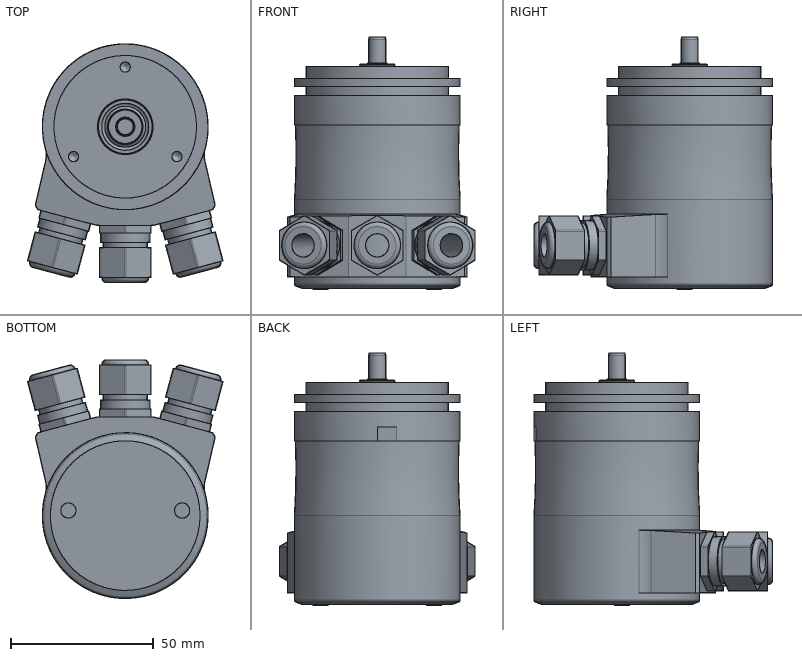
import cadquery as cq
import math

overall_height = 88.5

body_radius = 29.0
neck_radius = 25.0
foot_height = 0.31
flange_top = 78.15
disc_top = 73.9
disc_bottom = 71.1
cap_top = 68.0
cap_bottom = 57.5
waist_bottom = 31.5
waist_top_radius = 28.7
waist_mid_radius = 28.5
base_bevel_height = 1.15
base_flat_radius = 26.2
base_round = 0.8

foot_radius = 2.65
foot_x = 19.9
foot_y = -1.8

shaft_radius = 3.0
shaft_chamfer_height = 1.0
shaft_chamfer_width = 0.22
shoulder_radius = 3.4
shoulder_top = 79.3
collar_radius = 6.2
collar_chamfer = 0.35
collar_bottom = 77.6
collar_top = 79.0
groove_floor_radius = 7.2
groove_outer_radius = 8.2
seat_radius = 9.4
seat_depth = 0.35
seat_chamfer = 0.35

screw_hole_radius = 1.8
screw_circle_radius = 20.9
screw_hole_depth = 8.0
screw_tip_angle = 118.0
screw_count = 3

rear_step_height = 5.0
rear_step_depth = 0.8

box_bottom = 4.4
box_top_at_body = 26.4
box_top_slope = 4.5
box_front = 34.5
box_front_half_width = 10.0
box_corner_half_width = 31.8
box_side_angle = 13.0
box_blend_radius = 8.5
box_corner_chamfer = 1.2
top_cone_radius = 53.1

gland_angle = 15.0
gland_height = 15.5
side_gland_x = 20.8
gland_length = 20.0
gland_bore_radius = 4.1
hex_half_width = 9.0
hex_edge_round = 0.5
gland_base_length = 2.7
gland_ring_radius = 8.7
gland_ring_end = 5.9
gland_neck_radius = 7.8
nut_start = 7.8
nut_end = 18.2
dome_radius = 8.1
dome_round = 1.6


def make_body():
    """Turned housing with waist, grooved flange, bearing seat and shaft."""
    seat_floor = flange_top - seat_depth
    groove_radius = groove_outer_radius - groove_floor_radius
    waist_middle = (cap_bottom + waist_bottom) / 2
    profile = (
        cq.Workplane("XZ")
        .moveTo(0, foot_height)
        .lineTo(base_flat_radius, foot_height)
        .lineTo(body_radius, foot_height + base_bevel_height)
        .lineTo(body_radius, waist_bottom)
        .threePointArc((waist_mid_radius, waist_middle), (waist_top_radius, cap_bottom))
        .lineTo(body_radius, cap_bottom)
        .lineTo(body_radius, cap_top)
        .lineTo(neck_radius, cap_top)
        .lineTo(neck_radius, disc_bottom)
        .lineTo(body_radius, disc_bottom)
        .lineTo(body_radius, disc_top)
        .lineTo(neck_radius, disc_top)
        .lineTo(neck_radius, flange_top)
        .lineTo(seat_radius + seat_chamfer, flange_top)
        .lineTo(seat_radius, seat_floor)
        .lineTo(groove_outer_radius, seat_floor)
        .radiusArc((groove_floor_radius, seat_floor - groove_radius), groove_radius)
        .lineTo(collar_radius, collar_bottom)
        .lineTo(collar_radius, collar_top - collar_chamfer)
        .lineTo(collar_radius - collar_chamfer, collar_top)
        .lineTo(shoulder_radius, collar_top)
        .lineTo(shoulder_radius, shoulder_top)
        .lineTo(shaft_radius, shoulder_top)
        .lineTo(shaft_radius, overall_height - shaft_chamfer_height)
        .lineTo(shaft_radius - shaft_chamfer_width, overall_height)
        .lineTo(0, overall_height)
        .close()
    )
    body = profile.revolve(360, (0, 0, 0), (0, 1, 0))
    rim_height = foot_height + base_bevel_height
    rim_edge = cq.selectors.NearestToPointSelector((0, 0, rim_height))
    return body.edges("%CIRCLE").edges(rim_edge).fillet(base_round)


def make_screw_holes():
    """Blind drilled holes with conical ends, evenly spaced around the shaft."""
    tip_length = screw_hole_radius / math.tan(math.radians(screw_tip_angle / 2))
    drill = (
        cq.Workplane("XZ")
        .moveTo(0, flange_top)
        .lineTo(screw_hole_radius, flange_top)
        .lineTo(screw_hole_radius, flange_top - screw_hole_depth)
        .lineTo(0, flange_top - screw_hole_depth - tip_length)
        .close()
        .revolve(360, (0, 0, 0), (0, 1, 0))
        .translate((0, screw_circle_radius, 0))
    )
    holes = cq.Workplane("XY")
    for index in range(screw_count):
        holes = holes.add(drill.rotate((0, 0, 0), (0, 0, 1), index * 360 / screw_count))
    return holes.combine()


def make_rear_step():
    """Cutter for a shallow flat on the rear of the cap that ends in a wall at mid width."""
    cutter = cq.Workplane("XY").box(body_radius, body_radius, rear_step_height, centered=False)
    return cutter.translate((-body_radius, body_radius - rear_step_depth, cap_bottom))


def make_feet():
    """Two low round feet under the base."""
    return (
        cq.Workplane("XY")
        .pushPoints([(-foot_x, foot_y), (foot_x, foot_y)])
        .circle(foot_radius)
        .extrude(2 * foot_height)
    )


def box_face_y(x):
    """Y of the slanted front face of the box at a given X."""
    return -box_front + (x - box_front_half_width) * math.tan(math.radians(gland_angle))


def make_box():
    """Connection box with slanted faces, blended sides and a conical top."""
    side = math.radians(box_side_angle)
    corner = (box_corner_half_width, box_face_y(box_corner_half_width))

    side_offset = corner[0] * math.cos(side) + corner[1] * math.sin(side)
    centre_offset = side_offset + box_blend_radius
    centre_distance = body_radius + box_blend_radius
    along = -math.sqrt(centre_distance**2 - centre_offset**2)

    def side_point(offset):
        """Point level with the blend centre, at a distance out from the body axis."""
        return (
            offset * math.cos(side) - along * math.sin(side),
            offset * math.sin(side) + along * math.cos(side),
        )

    blend_start = side_point(side_offset)
    centre = side_point(centre_offset)
    blend_end = tuple(c * body_radius / centre_distance for c in centre)
    chord_middle = [(a + b) / 2 - c for a, b, c in zip(blend_start, blend_end, centre)]
    stretch = box_blend_radius / math.hypot(*chord_middle)
    blend_middle = tuple(c + m * stretch for c, m in zip(centre, chord_middle))

    half = (
        cq.Workplane("XY", origin=(0, 0, box_bottom))
        .moveTo(0, -box_front)
        .lineTo(box_front_half_width, -box_front)
        .lineTo(*corner)
        .lineTo(*blend_start)
        .threePointArc(blend_middle, blend_end)
        .lineTo(0, blend_end[1])
        .close()
        .extrude(overall_height / 2)
    )
    corner_edge = cq.selectors.NearestToPointSelector((*corner, gland_height))
    half = half.edges("|Z").edges(corner_edge).chamfer(box_corner_chamfer)
    block = half.union(half.mirror("YZ"))

    slope = math.tan(math.radians(box_top_slope))
    top_cone = (
        cq.Workplane("XZ")
        .lineTo(top_cone_radius, 0)
        .lineTo(top_cone_radius, box_top_at_body - (top_cone_radius - body_radius) * slope)
        .lineTo(0, box_top_at_body + body_radius * slope)
        .close()
        .revolve(360, (0, 0, 0), (0, 1, 0))
    )
    return block.intersect(top_cone)


def place_gland(shape, x, y, angle):
    """Turn a shape built along +Z to point forward, then swing it to its seat."""
    return (
        shape.rotate((0, 0, 0), (1, 0, 0), 90)
        .rotate((0, 0, 0), (0, 0, 1), angle)
        .translate((x, y, gland_height))
    )


def make_hexagon(start, end):
    """Hexagonal prism along +Z with slightly rounded edges, corners at top and bottom."""
    diameter = 2 * hex_half_width / math.cos(math.radians(30))
    return (
        cq.Workplane("XY", origin=(0, 0, start))
        .transformed(rotate=(0, 0, 90))
        .polygon(6, diameter)
        .extrude(end - start)
        .edges("|Z")
        .fillet(hex_edge_round)
    )


def make_gland():
    """Cable gland along +Z: hexagonal base, ring, neck, nut and rounded dome."""
    base = make_hexagon(0, gland_base_length)
    ring = cq.Workplane("XY").circle(gland_ring_radius).extrude(gland_ring_end)
    neck = cq.Workplane("XY").circle(gland_neck_radius).extrude(nut_start)
    dome = (
        cq.Workplane("XY", origin=(0, 0, nut_start))
        .circle(dome_radius)
        .extrude(gland_length - nut_start)
        .faces(">Z")
        .edges()
        .fillet(dome_round)
    )
    nut = make_hexagon(nut_start, nut_end)
    return base.union(ring).union(neck).union(nut).union(dome)


def make_bore():
    """Cutter along +Z through a gland and on into the box."""
    reach = body_radius / 2
    cutter = cq.Workplane("XY", origin=(0, 0, -reach)).circle(gland_bore_radius)
    return cutter.extrude(reach + gland_length)


gland_seats = [
    (-side_gland_x, box_face_y(side_gland_x), -gland_angle),
    (0, -box_front, 0),
    (side_gland_x, box_face_y(side_gland_x), gland_angle),
]
gland = make_gland()
bore = make_bore()

connection = make_box()
for seat in gland_seats:
    connection = connection.union(place_gland(gland, *seat))
for seat in gland_seats:
    connection = connection.cut(place_gland(bore, *seat))

housing = make_body().cut(make_screw_holes()).cut(make_rear_step())
result = housing.union(make_feet()).union(connection)